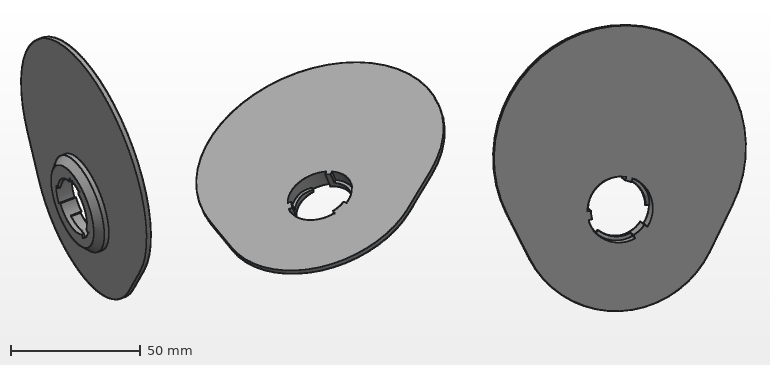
import cadquery as cq
import math

plate_thickness = 2.0
head_radius = 50.0
foot_radius = 40.0
head_offset = math.sqrt(500.0)

boss_height = 5.0
boss_radius = 20.0
boss_chamfer = 3.0

bore_radius = 11.5
notch_radius = 13.0
notch_starts = (67.0, 179.5, 309.5)
notch_span = 34.0

lip_thickness = 2.2
groove_span = 67.0
ramp_depth = 1.2
ramp_length = 4.5

total_depth = plate_thickness + boss_height


def xz_workplane(y):
    """Workplane at the given Y whose extrusions run toward -Y."""
    return cq.Workplane("XZ", origin=(0, y, 0))


def polar(radius, angle, centre_z=0.0):
    angle_rad = math.radians(angle)
    return (radius * math.cos(angle_rad), centre_z + radius * math.sin(angle_rad))


def make_plate():
    """Head and foot arcs joined by their two outer tangent lines."""
    right_tangent = -math.degrees(math.asin((head_radius - foot_radius) / head_offset))
    left_tangent = 180 - right_tangent
    head_top = polar(head_radius, 90, head_offset)
    foot_bottom = polar(foot_radius, -90)
    return (
        xz_workplane(plate_thickness)
        .moveTo(*polar(head_radius, right_tangent, head_offset))
        .threePointArc(head_top, polar(head_radius, left_tangent, head_offset))
        .lineTo(*polar(foot_radius, left_tangent))
        .threePointArc(foot_bottom, polar(foot_radius, right_tangent))
        .close()
        .extrude(plate_thickness)
    )


def make_boss():
    boss = xz_workplane(0).circle(boss_radius).extrude(boss_height)
    return boss.faces("<Y").chamfer(boss_chamfer)


def back_cylinder(radius):
    """Cylinder on the bore axis through the full depth of the part."""
    return xz_workplane(plate_thickness).circle(radius).extrude(total_depth)


def back_sector(start, span, depth):
    """Pie slice of the notch radius, cut forward from the back of the plate."""
    return (
        xz_workplane(plate_thickness)
        .lineTo(*polar(notch_radius, start))
        .threePointArc(polar(notch_radius, start + span / 2), polar(notch_radius, start + span))
        .close()
        .extrude(depth)
    )


def lead_in_ramp(start):
    """Wedge that thins the back of the lip where the groove leaves its notch."""
    radial_x, radial_z = polar(1, start)
    ramp_plane = cq.Plane(
        origin=(0, lip_thickness - boss_height, 0),
        xDir=(radial_z, 0, -radial_x),
        normal=(radial_x, 0, radial_z),
    )
    wedge = (
        cq.Workplane(ramp_plane)
        .polyline([(0, 0), (0, -ramp_depth), (ramp_length, 0)])
        .close()
        .extrude(notch_radius)
    )
    return wedge.intersect(back_cylinder(notch_radius))


def cut_socket(body):
    body = body.cut(back_cylinder(bore_radius))
    for start in notch_starts:
        notch = back_sector(start, notch_span, total_depth)
        groove = back_sector(start - groove_span, groove_span, total_depth - lip_thickness)
        body = body.cut(notch).cut(groove).cut(lead_in_ramp(start))
    return body


result = cut_socket(make_plate().union(make_boss()))